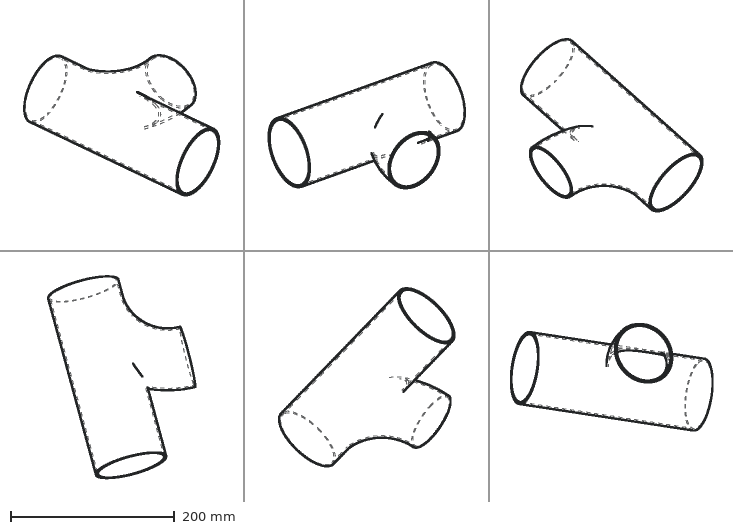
import cadquery as cq
pipe_length = 230.0
pipe_diameter = 89.0
pipe_bore = 83.7
wall = (pipe_diameter - pipe_bore) / 2

branch_diameter = 76.1
branch_bore = branch_diameter - 2 * wall
bend_radius = 95.0
overall_width = 145.8
outlet_x = pipe_length / 2
outlet_y = overall_width - pipe_diameter / 2
bend_start_x = outlet_x - bend_radius
bend_start_y = outlet_y - bend_radius

outer_seam_radius = 1.0
inner_seam_radius = outer_seam_radius + wall


def straight_pipe(diameter):
    """Solid cylinder over the full pipe length."""
    return cq.Workplane("YZ").circle(diameter / 2).extrude(pipe_length)


def quarter_bend(diameter):
    """Solid quarter torus ending on the outlet plane, facing +Y."""
    start_section = cq.Workplane("YZ", origin=(bend_start_x, bend_start_y, 0)).circle(diameter / 2)
    return start_section.revolve(90, (bend_radius, 0), (bend_radius, 1))


def solid_tee(main_diameter, side_diameter, seam_radius):
    """Solid pipe and branch joined, with the seam between them rounded."""
    joined = straight_pipe(main_diameter).union(quarter_bend(side_diameter))
    upper_seam = joined.edges("%BSPLINE").edges(">Z")
    return upper_seam.fillet(seam_radius)


outside = solid_tee(pipe_diameter, branch_diameter, outer_seam_radius)
passage = solid_tee(pipe_bore, branch_bore, inner_seam_radius)
tee = outside.cut(passage)
result = cq.Workplane(tee.solids().val())